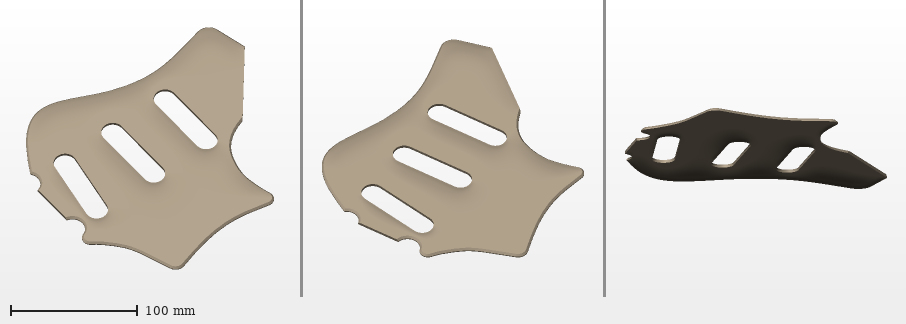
import cadquery as cq
import math

THICKNESS = 2.5
BEVEL = 1.5

POSITION_TOLERANCE = 0.02

NECK_TOP = (-43.9, 109.7)
NECK_HEEL = (12.0, 63.0)

HORN = ((83.8, 29.2), 6.5, 108, -13)
REAR_CORNER = ((87.5, -64.7), 8.1, 17, -70)
TAIL_TIP = ((27.6, -103.1), 6.5, -35, -160)
SHOULDER = ((-67.8, 92.4), 11.0, 192, 104)

CUTAWAY_POINTS = [(18.0, 49.5), (28.5, 38.5), (43.0, 32.3), (58.2, 30.5), (71.5, 32.7)]
REAR_POINTS = [(87.3, 14.7), (84.7, -8.8), (88.0, -36.2)]
TAIL_POINTS = [(67.1, -80.5), (55.3, -86.0), (45.5, -93.5)]
BOUT_POINTS = [
    (-62.0, -94.8), (-77.7, -84.3), (-88.5, -73.5), (-94.5, -62.0), (-95.7, -51.5),
    (-92.0, -36.5), (-78.8, -7.7), (-71.0, 16.5), (-69.0, 39.5), (-72.5, 64.7),
]

CUTAWAY_HEADING = -72
BOUT_HEADING = 153

BOTTOM_EDGE_Y = -106.9
NOTCH_RADIUS = 9.9
LEFT_NOTCH_X = -44.5
NOTCH_BOUT_ANGLE = 130

SLOT_LENGTH = 70.2
SLOT_WIDTH = 18.2
SLOT_X = -15.8
FIRST_SLOT_Y = 27.6
SLOT_PITCH = 52.9
SLOT_ANGLES = (0, 0, -10)


def polar(center, radius, angle):
    """Point on a circle at an angle in degrees."""
    turn = math.radians(angle)
    return center[0] + radius * math.cos(turn), center[1] + radius * math.sin(turn)


def heading(angle):
    """Unit direction at an angle in degrees."""
    return polar((0, 0), 1, angle)


def clockwise_tangent(angle):
    """Direction of clockwise travel around a circle at an angle in degrees."""
    return heading(angle - 90)


def corner_exit(corner):
    """Direction in which the outline leaves a rounded corner."""
    return clockwise_tangent(corner[-1])


def arc(sketch, center, radius, start, end):
    """Add a circular arc that continues from the current point."""
    return sketch.threePointArc(polar(center, radius, (start + end) / 2), polar(center, radius, end))


def curve_to_corner(sketch, start_tangent, points, corner):
    """Add a smooth curve that runs tangentially into a rounded corner, then the corner."""
    center, radius, start, end = corner
    sketch = sketch.spline(
        points + [polar(center, radius, start)],
        tangents=[start_tangent, clockwise_tangent(start)],
        includeCurrent=True,
    )
    return arc(sketch, center, radius, start, end)


def plate_outline():
    """Closed outline, drawn clockwise from the top of the neck edge."""
    tip_center, tip_radius, _, tip_end_angle = TAIL_TIP
    right_notch = polar(tip_center, tip_radius + NOTCH_RADIUS, tip_end_angle)
    left_notch = (LEFT_NOTCH_X, right_notch[1])
    edge_angle = math.degrees(math.asin((BOTTOM_EDGE_Y - right_notch[1]) / NOTCH_RADIUS))

    sketch = cq.Workplane("XY").moveTo(*NECK_TOP).lineTo(*NECK_HEEL)
    sketch = curve_to_corner(sketch, heading(CUTAWAY_HEADING), CUTAWAY_POINTS, HORN)
    sketch = curve_to_corner(sketch, corner_exit(HORN), REAR_POINTS, REAR_CORNER)
    sketch = curve_to_corner(sketch, corner_exit(REAR_CORNER), TAIL_POINTS, TAIL_TIP)

    sketch = arc(sketch, right_notch, NOTCH_RADIUS, tip_end_angle + 180, 180 - edge_angle)
    sketch = sketch.lineTo(*polar(left_notch, NOTCH_RADIUS, edge_angle))
    sketch = arc(sketch, left_notch, NOTCH_RADIUS, edge_angle, NOTCH_BOUT_ANGLE)

    sketch = curve_to_corner(sketch, heading(BOUT_HEADING), BOUT_POINTS, SHOULDER)
    return sketch.lineTo(*NECK_TOP).close()


def is_straight_side(edge):
    """True for the neck edge and the bottom edge, which stay square."""
    middle = edge.Center()
    neck_middle = cq.Vector((NECK_TOP[0] + NECK_HEEL[0]) / 2, (NECK_TOP[1] + NECK_HEEL[1]) / 2, THICKNESS)
    on_bottom_edge = abs(middle.y - BOTTOM_EDGE_Y) < POSITION_TOLERANCE
    return on_bottom_edge or (middle - neck_middle).Length < POSITION_TOLERANCE


def beveled_plate():
    """Plate with its top rim beveled everywhere except along the two straight sides."""
    plate = plate_outline().extrude(THICKNESS)
    rim = [edge for edge in plate.faces(">Z").edges().vals() if not is_straight_side(edge)]
    return plate.newObject(rim).chamfer(BEVEL)


def cut_slots(plate):
    """Cut the three round-ended slots through the plate."""
    for index, angle in enumerate(SLOT_ANGLES):
        slot_y = FIRST_SLOT_Y - index * SLOT_PITCH
        slot = cq.Workplane("XY").center(SLOT_X, slot_y).slot2D(SLOT_LENGTH, SLOT_WIDTH, angle)
        plate = plate.cut(slot.extrude(THICKNESS))
    return plate


result = cut_slots(beveled_plate())